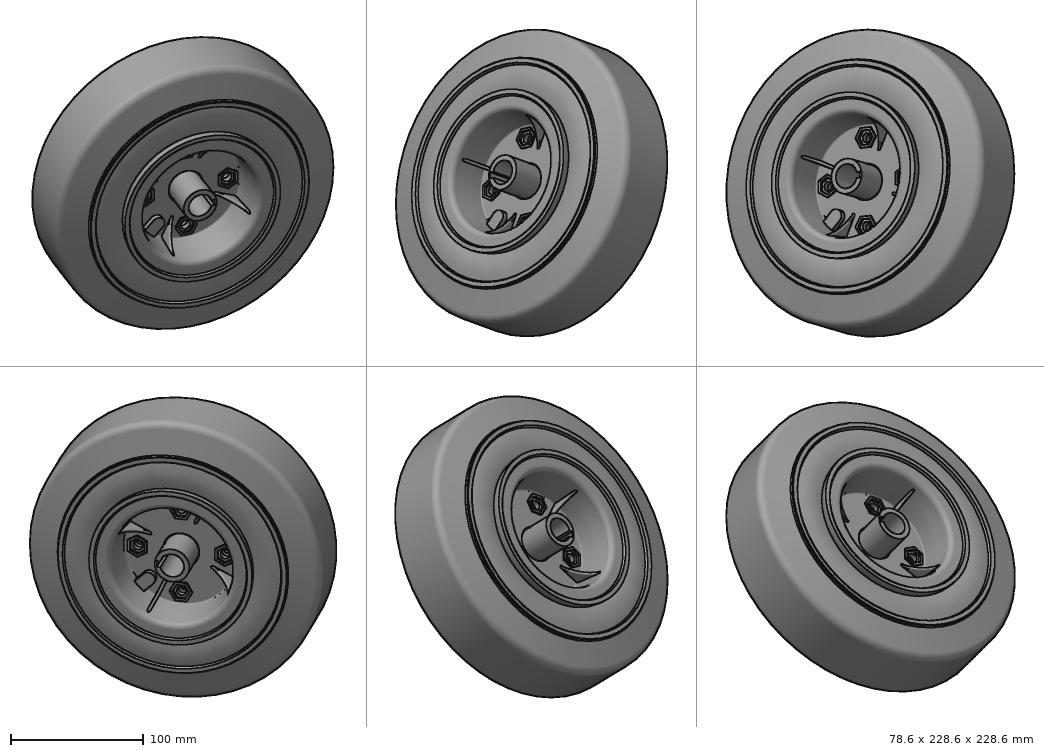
import cadquery as cq
import math


TYRE_RADIUS = 114.3
CROWN_HALF_WIDTH = 20.3
SHOULDER_FILLET = 6.5
FLANK_TOP = (26.5, 109.5)
FLANK_FOOT = (31.5, 90.0)
RING_HALF_WIDTH = 34.3
RING_EDGE_HALF_WIDTH = 32.7
RING_OUTER_RADIUS = 89.2
RING_INNER_RADIUS = 85.5
BULGE_OUTER_RADIUS = 84.4
BULGE_FOOT = 32.5
BULGE_HEIGHT = 1.8

RIM_HALF_WIDTH = 39.3
FLANGE_RADIUS = 63.5
FLANGE_LIP_WIDTH = 2.5
FLANGE_BACK_RADIUS = 62.9
LIP_INNER_RADIUS = 60.0
LIP_STEP_RADIUS = 58.8
LIP_STEP_DEPTH = 1.8
BOWL_MOUTH_RADIUS = 52.0
BOWL_TOP_RADIUS = 47.3
BOWL_FOOT_RADIUS = 43.5
BOWL_FOOT_FILLET = 1.1
BARREL_RADIUS = 54.9
WEB_THICKNESS = 6.0
HUB_HOLE_RADIUS = 13.5
HUB_HOLE_CHAMFER = 0.7

BOLT_COUNT = 4
BOLT_CIRCLE_RADIUS = 34.0
BOLT_HOLE_RADIUS = 3.7
SEAT_FLATS = 15.3
SEAT_HEIGHT = 1.4
NUT_FLATS = 11.2
NUT_DEPTH = 2.3

RIB_COUNT = 4
RIB_START_ANGLE = 25.0
RIB_WIDTH = 2.5
RIB_FOOT_RADIUS = 26.3
RIB_OUTER_RADIUS = 48.0
RIB_TOP_HALF_WIDTH = 29.7
RIB_ARCH = 3.7
RIB_BURIAL = 1.0

PAD_ANGLE = -45.0
PAD_WIDTH = 10.7
PAD_CENTER_RADIUS = 34.7
PAD_OUTER_RADIUS = 46.9
PAD_HEIGHT = 4.5

HUB_LENGTH = 69.0
HUB_BORE_RADIUS = 9.4
KEY_WIDTH = 4.8
KEY_DEPTH_RADIUS = 12.0


def revolve_about_axle(profile):
    return profile.close().revolve(360, (0, 0, 0), (1, 0, 0))


def web_plane(radius, angle, x):
    """Plane on the -X side facing outward, centred at a polar place; its local X points radially."""
    turn = math.radians(angle)
    radial = (0, math.cos(turn), math.sin(turn))
    return cq.Plane((x, radius * radial[1], radius * radial[2]), radial, (-1, 0, 0))


def hexagon(plane, flats, height):
    """Hexagonal prism with flats square to the local X axis."""
    prism = cq.Workplane(plane).polygon(6, flats / math.cos(math.pi / 6)).extrude(height)
    return prism.rotate(plane.origin, plane.origin + plane.zDir, 30)


def make_tyre():
    bulge_middle = (BULGE_OUTER_RADIUS + FLANGE_BACK_RADIUS) / 2
    bulge_top = BULGE_FOOT + BULGE_HEIGHT
    slant = math.atan2(FLANK_FOOT[0] - FLANK_TOP[0], FLANK_TOP[1] - FLANK_FOOT[1])
    bisector = (math.pi / 2 + slant) / 2
    shoulder_x = CROWN_HALF_WIDTH + SHOULDER_FILLET * math.cos(bisector)
    shoulder_radius = TYRE_RADIUS - SHOULDER_FILLET + SHOULDER_FILLET * math.sin(bisector)
    profile = (
        cq.Workplane("XY")
        .moveTo(-BULGE_FOOT, BARREL_RADIUS)
        .lineTo(BULGE_FOOT, BARREL_RADIUS)
        .lineTo(BULGE_FOOT, FLANGE_BACK_RADIUS)
        .threePointArc((bulge_top, bulge_middle), (BULGE_FOOT, BULGE_OUTER_RADIUS))
        .lineTo(RING_HALF_WIDTH, RING_INNER_RADIUS)
        .lineTo(RING_HALF_WIDTH, RING_OUTER_RADIUS)
        .lineTo(RING_EDGE_HALF_WIDTH, RING_OUTER_RADIUS)
        .lineTo(*FLANK_FOOT)
        .lineTo(*FLANK_TOP)
        .threePointArc((shoulder_x, shoulder_radius), (CROWN_HALF_WIDTH, TYRE_RADIUS))
        .lineTo(-CROWN_HALF_WIDTH, TYRE_RADIUS)
        .threePointArc((-shoulder_x, shoulder_radius), (-FLANK_TOP[0], FLANK_TOP[1]))
        .lineTo(-FLANK_FOOT[0], FLANK_FOOT[1])
        .lineTo(-RING_EDGE_HALF_WIDTH, RING_OUTER_RADIUS)
        .lineTo(-RING_HALF_WIDTH, RING_OUTER_RADIUS)
        .lineTo(-RING_HALF_WIDTH, RING_INNER_RADIUS)
        .lineTo(-BULGE_FOOT, BULGE_OUTER_RADIUS)
        .threePointArc((-bulge_top, bulge_middle), (-BULGE_FOOT, FLANGE_BACK_RADIUS))
    )
    return revolve_about_axle(profile)


def rim_blank():
    """Web, bowl wall and flange of the -X half."""
    floor_x = -(RIM_HALF_WIDTH - LIP_STEP_DEPTH)
    mouth_fillet = BOWL_MOUTH_RADIUS - BOWL_TOP_RADIUS
    fillet_swing = mouth_fillet * math.sqrt(0.5)
    fillet_middle = (floor_x + mouth_fillet - fillet_swing, BOWL_MOUTH_RADIUS - fillet_swing)
    foot_swing = BOWL_FOOT_FILLET * math.sqrt(0.5)
    foot_top = (-WEB_THICKNESS - BOWL_FOOT_FILLET, BOWL_FOOT_RADIUS + BOWL_FOOT_FILLET)
    foot_middle = (foot_top[0] + foot_swing, BOWL_FOOT_RADIUS + foot_swing)
    profile = (
        cq.Workplane("XY")
        .moveTo(0, HUB_HOLE_RADIUS)
        .lineTo(-WEB_THICKNESS + HUB_HOLE_CHAMFER, HUB_HOLE_RADIUS)
        .lineTo(-WEB_THICKNESS, HUB_HOLE_RADIUS + HUB_HOLE_CHAMFER)
        .lineTo(-WEB_THICKNESS, BOWL_FOOT_RADIUS)
        .threePointArc(foot_middle, foot_top)
        .lineTo(floor_x + mouth_fillet, BOWL_TOP_RADIUS)
        .threePointArc(fillet_middle, (floor_x, BOWL_MOUTH_RADIUS))
        .lineTo(floor_x, LIP_STEP_RADIUS)
        .lineTo(-RIM_HALF_WIDTH, LIP_INNER_RADIUS)
        .lineTo(-RIM_HALF_WIDTH, FLANGE_RADIUS)
        .lineTo(-RIM_HALF_WIDTH + FLANGE_LIP_WIDTH, FLANGE_RADIUS)
        .lineTo(-BULGE_FOOT, FLANGE_BACK_RADIUS)
        .lineTo(-BULGE_FOOT, BARREL_RADIUS)
        .lineTo(0, BARREL_RADIUS)
    )
    return revolve_about_axle(profile)


def add_rib(rim, angle):
    """Gusset with a hollow, arched edge that is rounded over its full width."""
    foot = (RIB_BURIAL - WEB_THICKNESS, RIB_FOOT_RADIUS)
    top = (-RIB_TOP_HALF_WIDTH, RIB_OUTER_RADIUS)
    corner = (foot[0], top[1])
    chord = math.hypot(top[0] - foot[0], top[1] - foot[1])
    arch_middle = (
        (foot[0] + top[0]) / 2 + RIB_ARCH * (top[1] - foot[1]) / chord,
        (foot[1] + top[1]) / 2 + RIB_ARCH * (foot[0] - top[0]) / chord,
    )
    plate = (
        cq.Workplane("XY")
        .moveTo(*foot)
        .threePointArc(arch_middle, top)
        .lineTo(*corner)
        .close()
        .extrude(RIB_WIDTH / 2, both=True)
    )
    edge = cq.Workplane("XY").moveTo(*foot).threePointArc(arch_middle, top)
    foot_plane = cq.Plane((*foot, 0), (0, 0, 1), edge.val().tangentAt(0))
    rounded_edge = cq.Workplane(foot_plane).circle(RIB_WIDTH / 2).sweep(edge)
    rib = plate.union(rounded_edge).rotate((0, 0, 0), (1, 0, 0), angle)
    return rim.union(rib)


def add_nut_seat(rim, angle):
    """Raised hexagonal collar with a hexagonal nut recess and a bolt hole through the web."""
    seat_top = -WEB_THICKNESS - SEAT_HEIGHT
    seat = hexagon(web_plane(BOLT_CIRCLE_RADIUS, angle, -WEB_THICKNESS), SEAT_FLATS, SEAT_HEIGHT)
    top_plane = web_plane(BOLT_CIRCLE_RADIUS, angle, seat_top)
    recess = hexagon(top_plane, NUT_FLATS, -NUT_DEPTH)
    hole = cq.Workplane(top_plane).circle(BOLT_HOLE_RADIUS).extrude(seat_top)
    return rim.union(seat).cut(recess).cut(hole)


def add_valve_pad(rim):
    """Raised pad with a round inner end that runs into the bowl wall."""
    length = PAD_OUTER_RADIUS - PAD_CENTER_RADIUS
    plane = web_plane(PAD_CENTER_RADIUS, PAD_ANGLE, -WEB_THICKNESS)
    pad = (
        cq.Workplane(plane)
        .circle(PAD_WIDTH / 2)
        .extrude(PAD_HEIGHT)
        .union(cq.Workplane(plane).center(length / 2, 0).rect(length, PAD_WIDTH).extrude(PAD_HEIGHT))
    )
    return rim.union(pad)


def make_rim_half():
    rim = rim_blank()
    for index in range(RIB_COUNT):
        rim = add_rib(rim, RIB_START_ANGLE + index * 360 / RIB_COUNT)
    for index in range(BOLT_COUNT):
        rim = add_nut_seat(rim, index * 360 / BOLT_COUNT)
    return add_valve_pad(rim)


def make_hub():
    """Tube with a keyway on its +Y side along the whole bore."""
    tube = (
        cq.Workplane("YZ")
        .circle(HUB_HOLE_RADIUS)
        .circle(HUB_BORE_RADIUS)
        .extrude(HUB_LENGTH / 2, both=True)
    )
    keyway = (
        cq.Workplane("XY")
        .box(HUB_LENGTH, KEY_DEPTH_RADIUS, KEY_WIDTH)
        .translate((0, KEY_DEPTH_RADIUS / 2, 0))
    )
    return tube.cut(keyway)


tyre = make_tyre()
hub = make_hub()

rim_halves = [make_rim_half().rotate((0, 0, 0), (0, 0, 1), turn) for turn in (0, 180)]

result = cq.Compound.makeCompound([tyre.val(), hub.val(), *[rim.val() for rim in rim_halves]])